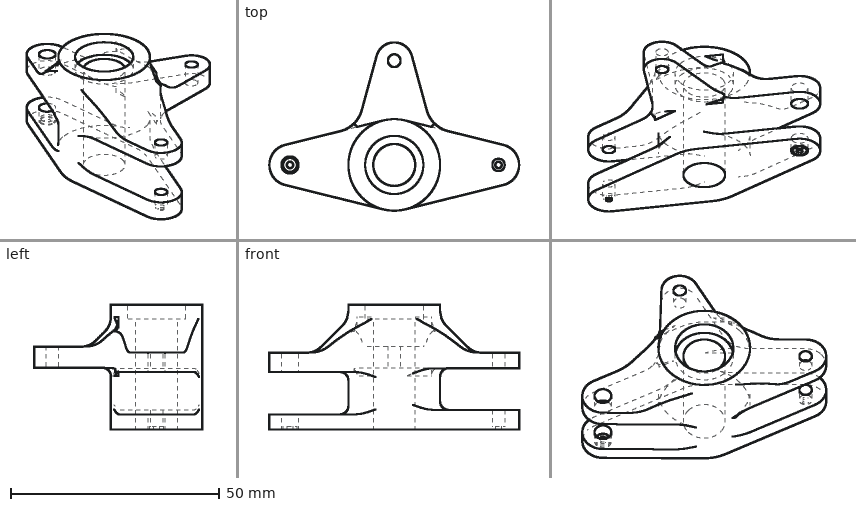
import cadquery as cq
import math

height = 30.0
hub_radius = 22.0 / 2
bore_diameter = 10.0
counterbore_diameter = 14.0
counterbore_depth = 3.5

total_length = 60.0
total_depth = 40.45

side_end_radius = 5.0
side_reach = total_length / 2 - side_end_radius
back_reach = 25.0
back_end_radius = total_depth - hub_radius - back_reach
side_arm_top = 18.5
left_levels = (3.65, 13.8)
right_levels = (4.75, 14.7)
back_arm_bottom = 14.8
back_arm_top = 19.9
side_cone_start = 26.4
back_cone_start = 24.95
flare_radius = 5.0
root_radius = 2.0
corner_radius = 7.0

left_hole_diameter = 4.0
right_hole_diameter = 3.0
back_hole_diameter = 3.0
pilot_diameter = 1.5
sleeve_diameter = 3.4
sleeve_height = 0.7
right_floor = 0.7

far = 2 * side_reach
side_taper = math.asin((hub_radius - side_end_radius) / side_reach)
back_taper = math.asin((hub_radius - back_end_radius) / back_reach)
DIAGONAL = math.sqrt(0.5)
root_offset = root_radius * (1 - DIAGONAL)


def arm_outline(reach, end_radius, taper):
    """Plan outline along +X: two tangents from the hub to a round tip."""
    sine, cosine = math.sin(taper), math.cos(taper)
    hub_x, hub_y = hub_radius * sine, hub_radius * cosine
    tip_x, tip_y = reach + end_radius * sine, end_radius * cosine
    return (
        cq.Workplane("XY")
        .moveTo(hub_x, -hub_y)
        .lineTo(tip_x, -tip_y)
        .threePointArc((reach + end_radius, 0), (tip_x, tip_y))
        .lineTo(hub_x, hub_y)
        .lineTo(0, 0)
        .close()
        .extrude(height)
    )


def add_flare(profile, arm_top, cone_start):
    """Continue a profile from the flat arm top, up the cone, to the hub wall."""
    half_angle = math.pi / 8
    tangent = flare_radius * math.tan(half_angle)
    rise = flare_radius * (1 - DIAGONAL)
    run = flare_radius * DIAGONAL
    mid_rise = flare_radius * (1 - math.cos(half_angle))
    mid_run = flare_radius * math.sin(half_angle)
    foot = hub_radius + cone_start - arm_top + tangent
    head = cone_start + tangent
    return (
        profile.lineTo(foot, arm_top)
        .threePointArc((foot - mid_run, arm_top + mid_rise), (foot - run, arm_top + rise))
        .lineTo(hub_radius + rise, head - run)
        .threePointArc((hub_radius + mid_rise, head - mid_run), (hub_radius, head))
    )


def add_root(profile, underside):
    """Quarter-round blend from the hub wall up and out to an arm underside."""
    return profile.threePointArc(
        (hub_radius + root_offset, underside - root_offset),
        (hub_radius + root_radius, underside),
    )


def sector(profile, direction):
    """Turn a radial profile through the gap between the side arms, about a direction."""
    half_angle = math.degrees(side_taper)
    turned = profile.revolve(2 * half_angle, (0, 0), (0, 1))
    return turned.rotate((0, 0, 0), (0, 0, 1), direction - half_angle)


def front_sector():
    """Plain hub wall between the two side arms."""
    profile = cq.Workplane("XZ").lineTo(hub_radius, 0).lineTo(hub_radius, height).lineTo(0, height)
    return sector(profile.close(), -90)


def corner_blend(mirrored, first_share, last_share):
    """Part of the plan blend between the back arm and one side arm.

    Shares run from 0 at the back arm edge to 1 at the side arm edge.
    """
    side_normal = math.pi / 2 - side_taper
    spread = side_normal - back_taper
    bisector = back_taper + spread / 2
    center = (hub_radius + corner_radius) / math.cos(spread / 2)
    flip = -1 if mirrored else 1

    def blend_point(share):
        angle = back_taper + share * spread
        x = center * math.cos(bisector) - corner_radius * math.cos(angle)
        y = center * math.sin(bisector) - corner_radius * math.sin(angle)
        return (flip * x, y)

    return (
        cq.Workplane("XY")
        .lineTo(*blend_point(first_share))
        .threePointArc(blend_point((first_share + last_share) / 2), blend_point(last_share))
        .close()
        .extrude(height)
    )


def side_arms(levels, mirrored):
    """Hub with its upper and lower arm on one side: +X, or -X if mirrored."""
    lower_top, upper_bottom = levels
    profile = (
        cq.Workplane("XZ")
        .lineTo(far, 0)
        .lineTo(far, lower_top)
        .lineTo(hub_radius + root_radius, lower_top)
        .threePointArc(
            (hub_radius + root_offset, lower_top + root_offset),
            (hub_radius, lower_top + root_radius),
        )
        .lineTo(hub_radius, upper_bottom - root_radius)
    )
    profile = add_root(profile, upper_bottom).lineTo(far, upper_bottom).lineTo(far, side_arm_top)
    profile = add_flare(profile, side_arm_top, side_cone_start)
    turned = profile.lineTo(hub_radius, height).lineTo(0, height).close().revolve(360, (0, 0), (0, 1))
    plan = arm_outline(side_reach, side_end_radius, side_taper)
    if mirrored:
        turned = turned.rotate((0, 0, 0), (0, 0, 1), 180)
        plan = plan.rotate((0, 0, 0), (0, 0, 1), 180)
    upper_corner = corner_blend(mirrored, 0.5, 1).translate((0, 0, (lower_top + upper_bottom) / 2))
    return turned.intersect(plan.union(upper_corner))


def back_profile(start):
    """Section of the back arm, continued from its root by the given profile."""
    profile = add_root(start, back_arm_bottom).lineTo(far, back_arm_bottom).lineTo(far, back_arm_top)
    return add_flare(profile, back_arm_top, back_cone_start)


def back_arm():
    """Flare follows the hub in the middle and the side arm edges beyond it."""
    taper_degrees = math.degrees(side_taper)
    root_height = back_arm_bottom - root_radius
    hub_start = cq.Workplane("XZ").lineTo(hub_radius, 0).lineTo(hub_radius, root_height)
    middle = sector(back_profile(hub_start).lineTo(hub_radius, height).lineTo(0, height).close(), 90)
    edge = back_profile(cq.Workplane("XZ").moveTo(hub_radius, root_height)).close()
    right = edge.extrude(far).rotate((0, 0, 0), (0, 0, 1), 90 - taper_degrees)
    left = right.mirror("YZ")
    plan = arm_outline(back_reach, back_end_radius, back_taper).rotate((0, 0, 0), (0, 0, 1), 90)
    for mirrored in (False, True):
        plan = plan.union(corner_blend(mirrored, 0, 0.5))
    return middle.union(right).union(left).intersect(plan)


def hole(x, y, diameter, bottom=0.0):
    """Vertical cutter open at the top."""
    return cq.Workplane("XY", origin=(x, y, bottom)).circle(diameter / 2).extrude(height)


def make_bracket():
    body = (
        front_sector()
        .union(side_arms(right_levels, mirrored=False))
        .union(side_arms(left_levels, mirrored=True))
        .union(back_arm())
    )
    cutters = (
        hole(0, 0, bore_diameter),
        hole(0, 0, counterbore_diameter, height - counterbore_depth),
        hole(-side_reach, 0, left_hole_diameter),
        hole(side_reach, 0, right_hole_diameter, right_floor),
        hole(side_reach, 0, pilot_diameter),
        hole(0, back_reach, back_hole_diameter),
    )
    for cutter in cutters:
        body = body.cut(cutter)
    return body


def make_sleeve():
    """Short loose ring centered in the lower left arm hole."""
    return (
        cq.Workplane("XY", origin=(-side_reach, 0, 0))
        .circle(sleeve_diameter / 2)
        .circle(pilot_diameter / 2)
        .extrude(sleeve_height)
    )


bracket = make_bracket()
sleeve = make_sleeve()
result = cq.Compound.makeCompound([*bracket.vals(), sleeve.val()])